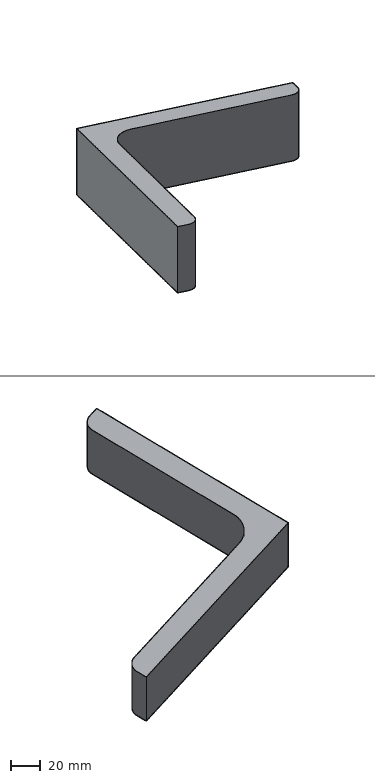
import cadquery as cq

leg_length = 160.0
leg_thickness = 16.3
length = 50.0
root_radius = 17.0
toe_radius = 8.5

outline = [
    (0, 0),
    (leg_length, 0),
    (leg_length, leg_thickness),
    (leg_thickness, leg_thickness),
    (leg_thickness, leg_length),
    (0, leg_length),
]
angle = cq.Workplane("XY").polyline(outline).close().extrude(length)


def round_edge(body, x, y, radius):
    """Fillet the vertical edge that stands at (x, y)."""
    selector = cq.selectors.NearestToPointSelector((x, y, length / 2))
    return body.edges("|Z").edges(selector).fillet(radius)


angle = round_edge(angle, leg_thickness, leg_thickness, root_radius)

for toe_x, toe_y in [(leg_length, leg_thickness), (leg_thickness, leg_length)]:
    angle = round_edge(angle, toe_x, toe_y, toe_radius)

result = angle.translate((-leg_length / 2, -leg_length / 2, -length / 2))